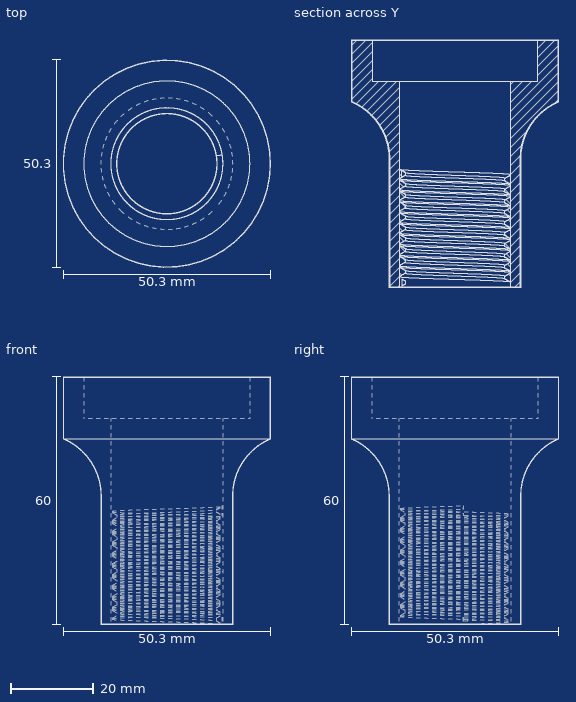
import cadquery as cq
import math

total_height = 60.0
head_diameter = 50.3
head_height = 15.0
stem_diameter = 32.0
flare_radius = 15.0

recess_diameter = 40.25
recess_depth = 10.0
bore_diameter = 27.2

thread_minor_diameter = 24.3
thread_pitch = 2.65
thread_crest_width = 0.65
thread_flank_angle = 30.0
thread_turns = 10
thread_end_angle = 9.0

head_radius = head_diameter / 2
stem_radius = stem_diameter / 2
bore_radius = bore_diameter / 2
head_bottom = total_height - head_height
recess_floor = total_height - recess_depth
thread_minor_radius = thread_minor_diameter / 2
thread_depth = bore_radius - thread_minor_radius
thread_root_width = thread_crest_width + 2 * thread_depth * math.tan(math.radians(thread_flank_angle))

flare_center_radius = stem_radius + flare_radius
flare_height = math.sqrt(flare_radius**2 - (flare_center_radius - head_radius) ** 2)
flare_bottom = head_bottom - flare_height
flare_mid_angle = math.asin(flare_height / flare_radius) / 2
flare_mid_point = (
    flare_center_radius - flare_radius * math.cos(flare_mid_angle),
    flare_bottom + flare_radius * math.sin(flare_mid_angle),
)


def make_fitting():
    """Flared head on a straight stem, with a round recess above a through bore."""
    return (
        cq.Workplane("XZ")
        .moveTo(bore_radius, 0)
        .lineTo(stem_radius, 0)
        .lineTo(stem_radius, flare_bottom)
        .threePointArc(flare_mid_point, (head_radius, head_bottom))
        .lineTo(head_radius, total_height)
        .lineTo(recess_diameter / 2, total_height)
        .lineTo(recess_diameter / 2, recess_floor)
        .lineTo(bore_radius, recess_floor)
        .close()
        .revolve(360, (0, 0, 0), (0, 1, 0))
    )


def make_thread():
    """Helical ridge whose root lies on the bore wall and whose crest faces the axis."""
    start_level = thread_root_width / 2
    helix = cq.Wire.makeHelix(thread_pitch, thread_turns * thread_pitch, bore_radius)
    ridge = (
        cq.Workplane("XZ")
        .moveTo(bore_radius, -thread_root_width / 2)
        .lineTo(bore_radius, thread_root_width / 2)
        .lineTo(thread_minor_radius, thread_crest_width / 2)
        .lineTo(thread_minor_radius, -thread_crest_width / 2)
        .close()
        .sweep(cq.Workplane(helix), isFrenet=True)
    )
    return ridge.rotate((0, 0, 0), (0, 0, 1), thread_end_angle).translate((0, 0, start_level))


fitting = make_fitting()
thread = make_thread()

result = cq.Compound.makeCompound([fitting.val(), thread.val()])